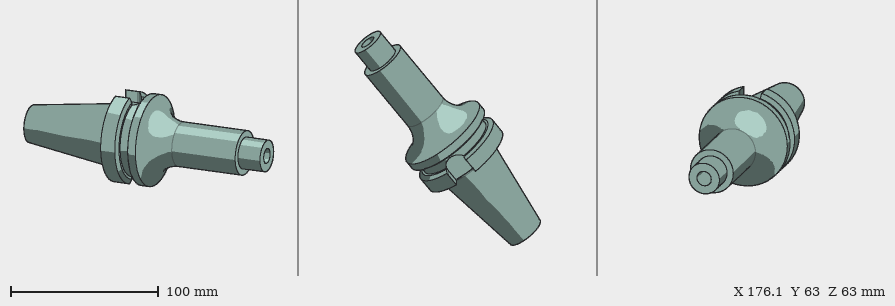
import cadquery as cq
import math

TOTAL_LENGTH = 176.1
TAPER_END = 65.3
FLANGE_START = 66.4
GROOVE_START = 78.5
GROOVE_END = 85.0
FLANGE_END = 92.5
BODY_END = 159.5

TAPER_SMALL_RADIUS = 13.0
TAPER_LARGE_RADIUS = 22.2
FLANGE_RADIUS = 31.5
GROOVE_RADIUS = 26.5
BODY_RADIUS = 15.3
PILOT_RADIUS = 11.0
BORE_RADIUS = 5.1

BEVEL_LENGTH = 1.5
BEVEL_DEPTH = 3.3

BLEND_RADIUS = 19.9

SLOT_WIDTH = 16.4
SLOT_END = 83.5
SLOT_FLOOR = 22.4


def make_turned_body():
    """Revolve the half profile about the X axis."""
    blend_center_radius = BODY_RADIUS + BLEND_RADIUS
    rim_drop = blend_center_radius - FLANGE_RADIUS
    blend_center_x = FLANGE_END + math.sqrt(BLEND_RADIUS**2 - rim_drop**2)
    middle_angle = (math.asin(rim_drop / BLEND_RADIUS) + math.pi / 2) / 2
    blend_middle = (
        blend_center_x - BLEND_RADIUS * math.cos(middle_angle),
        blend_center_radius - BLEND_RADIUS * math.sin(middle_angle),
    )
    bevel_radius = FLANGE_RADIUS - BEVEL_DEPTH
    return (
        cq.Workplane("XY")
        .moveTo(0, 0)
        .lineTo(0, TAPER_SMALL_RADIUS)
        .lineTo(TAPER_END, TAPER_LARGE_RADIUS)
        .lineTo(FLANGE_START, TAPER_LARGE_RADIUS)
        .lineTo(FLANGE_START, FLANGE_RADIUS)
        .lineTo(GROOVE_START - BEVEL_LENGTH, FLANGE_RADIUS)
        .lineTo(GROOVE_START, bevel_radius)
        .lineTo(GROOVE_START, GROOVE_RADIUS)
        .lineTo(GROOVE_END, GROOVE_RADIUS)
        .lineTo(GROOVE_END, bevel_radius)
        .lineTo(GROOVE_END + BEVEL_LENGTH, FLANGE_RADIUS)
        .lineTo(FLANGE_END, FLANGE_RADIUS)
        .threePointArc(blend_middle, (blend_center_x, BODY_RADIUS))
        .lineTo(BODY_END, BODY_RADIUS)
        .lineTo(BODY_END, PILOT_RADIUS)
        .lineTo(TOTAL_LENGTH, PILOT_RADIUS)
        .lineTo(TOTAL_LENGTH, 0)
        .close()
        .revolve(360, (0, 0, 0), (1, 0, 0))
    )


def make_drive_slot():
    """Round-ended cutter for the +Z drive slot, open toward the taper."""
    half_width = SLOT_WIDTH / 2
    arc_start = SLOT_END - half_width
    return (
        cq.Workplane("XY")
        .workplane(offset=SLOT_FLOOR)
        .moveTo(FLANGE_START, -half_width)
        .lineTo(arc_start, -half_width)
        .threePointArc((SLOT_END, 0), (arc_start, half_width))
        .lineTo(FLANGE_START, half_width)
        .close()
        .extrude(FLANGE_RADIUS)
    )


def make_bore():
    return cq.Workplane("YZ").circle(BORE_RADIUS).extrude(TOTAL_LENGTH)


result = make_turned_body().cut(make_bore())
drive_slot = make_drive_slot()
for slot in (drive_slot, drive_slot.mirror("XY")):
    result = result.cut(slot)